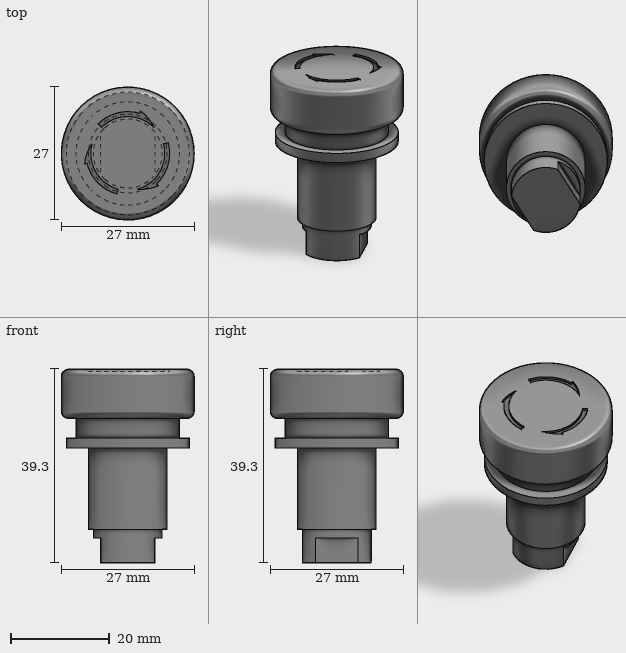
import cadquery as cq
import math

stem_diameter = 14.0
stem_height = 6.8
flat_width = 11.0
flat_height = 5.0

body_diameter = 16.0
body_height = 16.5
collar_diameter = 25.0
collar_height = 2.0
neck_diameter = 21.0
neck_height = 4.0
head_diameter = 27.0
head_height = 10.0
head_fillet = 1.5

arrow_count = 3
arrow_depth = 0.5
arrow_inner_radius = 7.5
arrow_outer_radius = 8.5
arrow_barb_radius = 9.0
arrow_tail_angle = 135.0
arrow_barb_angle = 73.5
arrow_tip_angle = 45.0
arrow_head_bulge = 0.3

total_height = stem_height + body_height + collar_height + neck_height + head_height


def polar(radius, angle):
    """Point at a radius and an angle in degrees about the axis."""
    turn = math.radians(angle)
    return (radius * math.cos(turn), radius * math.sin(turn))


def disc(diameter, height, base):
    """Cylinder on the Z axis whose lower face is at the given base level."""
    return cq.Workplane("XY").workplane(offset=base).circle(diameter / 2).extrude(height)


def make_stem():
    """Round stem, narrowed along X by two flats at its lower end."""
    stem = disc(stem_diameter, stem_height, 0)
    lower_block = cq.Workplane("XY").box(
        flat_width, stem_diameter, flat_height, centered=(True, True, False)
    )
    upper_part = disc(stem_diameter, stem_height - flat_height, flat_height)
    return stem.intersect(lower_block).union(upper_part)


def make_head(base):
    """Push-button head with both rims rounded."""
    return disc(head_diameter, head_height, base).edges().fillet(head_fillet)


def make_arrow():
    """Curved arrow cutter, with its tail at the larger angle and its point at the smaller."""
    tail_mid_angle = (arrow_tail_angle + arrow_barb_angle) / 2
    inner_mid_angle = (arrow_tail_angle + arrow_tip_angle) / 2
    barb = polar(arrow_barb_radius, arrow_barb_angle)
    tip = polar(arrow_inner_radius, arrow_tip_angle)
    return (
        cq.Workplane("XY")
        .workplane(offset=total_height - arrow_depth)
        .moveTo(*polar(arrow_inner_radius, arrow_tail_angle))
        .lineTo(*polar(arrow_outer_radius, arrow_tail_angle))
        .threePointArc(
            polar(arrow_outer_radius, tail_mid_angle),
            polar(arrow_outer_radius, arrow_barb_angle),
        )
        .lineTo(*barb)
        .sagittaArc(tip, arrow_head_bulge)
        .threePointArc(
            polar(arrow_inner_radius, inner_mid_angle),
            polar(arrow_inner_radius, arrow_tail_angle),
        )
        .close()
        .extrude(arrow_depth)
    )


def build_button():
    """Stack the round sections and sink the arrows into the top."""
    body_base = stem_height
    collar_base = body_base + body_height
    neck_base = collar_base + collar_height
    head_base = neck_base + neck_height
    button = (
        make_stem()
        .union(disc(body_diameter, body_height, body_base))
        .union(disc(collar_diameter, collar_height, collar_base))
        .union(disc(neck_diameter, neck_height, neck_base))
        .union(make_head(head_base))
    )
    arrow = make_arrow()
    for index in range(arrow_count):
        turn = index * 360.0 / arrow_count
        button = button.cut(arrow.rotate((0, 0, 0), (0, 0, 1), turn))
    return button


result = build_button()